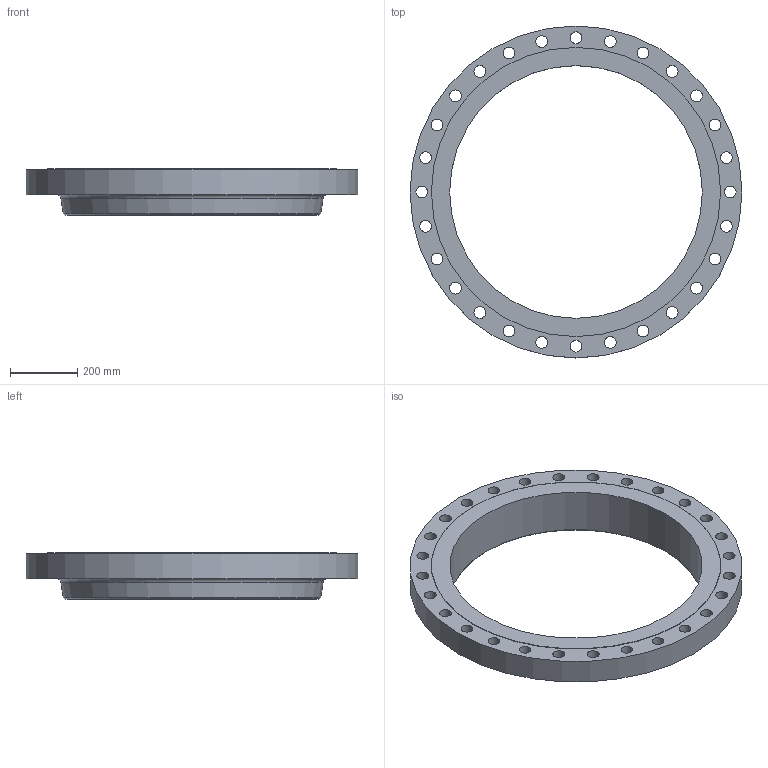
import cadquery as cq
import math

flange_diameter = 984.25
overall_height = 136.53
raised_face_diameter = 857.25
raised_face_height = 1.59
face_to_flange_back = 76.2

pipe_diameter = 762.0
pipe_wall = 6.35

hub_base_diameter = 781.05
hub_root_radius = 12.7
weld_land = 1.6
bevel_angle = 37.5

bolt_count = 28
bolt_circle_diameter = 914.4
bolt_hole_diameter = 34.925

ring_top = -raised_face_height
ring_bottom = -face_to_flange_back
hub_end = -overall_height

bore_radius = pipe_diameter / 2 - pipe_wall
land_radius = bore_radius + weld_land
hub_length = ring_bottom - hub_end
taper_slope = (hub_base_diameter - pipe_diameter) / (2 * hub_length)
bevel_slope = math.tan(math.radians(bevel_angle))
bevel_width = (pipe_diameter / 2 - land_radius) / (1 - bevel_slope * taper_slope)
bevel_height = bevel_width * bevel_slope


def make_flange_body():
    """Revolve the ring, raised face and tapered hub as one half section."""
    section = (
        cq.Workplane("XZ")
        .moveTo(bore_radius, hub_end)
        .lineTo(land_radius, hub_end)
        .lineTo(land_radius + bevel_width, hub_end + bevel_height)
        .lineTo(hub_base_diameter / 2, ring_bottom)
        .lineTo(flange_diameter / 2, ring_bottom)
        .lineTo(flange_diameter / 2, ring_top)
        .lineTo(raised_face_diameter / 2, ring_top)
        .lineTo(raised_face_diameter / 2, 0)
        .lineTo(bore_radius, 0)
        .close()
    )
    return section.revolve(360, (0, 0, 0), (0, 1, 0))


def blend_hub_root(body):
    """Round the inside corner where the hub meets the back of the ring."""
    tolerance = 0.01
    back_plane_edges = body.edges(
        cq.selectors.BoxSelector(
            (-flange_diameter, -flange_diameter, ring_bottom - tolerance),
            (flange_diameter, flange_diameter, ring_bottom + tolerance),
            boundingbox=True,
        )
    )
    return back_plane_edges.edges(cq.selectors.RadiusNthSelector(0)).fillet(hub_root_radius)


def make_bolt_holes():
    """Through holes evenly spaced on the bolt circle, the first on +X."""
    return (
        cq.Workplane("XY")
        .polarArray(bolt_circle_diameter / 2, 0, 360, bolt_count)
        .circle(bolt_hole_diameter / 2)
        .extrude(ring_bottom)
    )


result = blend_hub_root(make_flange_body()).cut(make_bolt_holes())